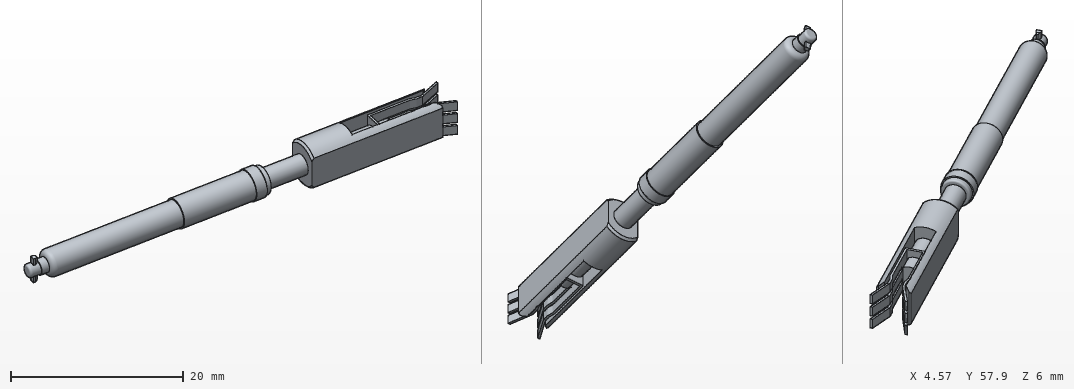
import cadquery as cq
import math

TOTAL_LENGTH = 57.9

PIN_RADIUS = 0.85
PIN_END = 1.45
PIN_FILLET = 0.3
NECK_RADIUS = 1.0
KEY_WIDTH = 0.65
KEY_START = 0.7
KEY_END = 1.4
KEY_HALF_SPAN = 1.75
KEY_CHAMFER = 0.2
KEY_NOSE_WIDTH = 0.2
KEY_NOSE_LENGTH = 0.4

BARREL_START = 2.5
BARREL_RADIUS = 1.75
BARREL_FILLET = 0.7
SLEEVE_START = 20.5
SLEEVE_RADIUS = 1.9
COLLAR_START = 30.4
COLLAR_END = 31.85
COLLAR_RADIUS = 2.0
LIP_END = 32.6
LIP_RADIUS = 1.85
LIP_FILLET = 0.25
ROD_RADIUS = 1.35

HEAD_START = 37.9
HEAD_END = 56.0
HEAD_RADIUS = 3.0
HEAD_WIDTH = 4.2
HEAD_START_CHAMFER = 0.3
SLOT_START = 44.0
SLOT_WIDTH = 2.6
SLOT_LEAD_IN = 0.6

STUD_RADIUS = 1.45
STUD_WIDTH = 2.2
STUD_END = 46.65
SHOULDER_WIDTH = 2.1
TANG_WIDTH = 1.55
TANG_END = 50.0

SHEET = 0.3
CLIP_BASE_START = 47.7
FINGER_WIDTH = 1.3
FINGER_PITCH = 1.75
FINGER_COUNT = 3
FINGER_ROOT = 49.8
CLIP_HEIGHT = FINGER_PITCH * (FINGER_COUNT - 1) + FINGER_WIDTH
CLIP_CLEARANCE = 0.05
CLIP_HALF_WIDTH = SLOT_WIDTH / 2 - CLIP_CLEARANCE
BUMP_START = 53.45
BUMP_LOW = 54.2
BUMP_HIGH = 55.0
BUMP_INSET = 0.2
TIP_HALF_SPAN = 2.285


def make_body():
    """Turned pin, barrel, sleeve, collar and rod as one revolved profile."""
    fillet_start = BARREL_START + BARREL_FILLET
    lip_round_start = LIP_END - LIP_FILLET
    diagonal = math.sqrt(0.5)
    return (
        cq.Workplane("XY")
        .moveTo(0, 0)
        .lineTo(PIN_RADIUS - PIN_FILLET, 0)
        .threePointArc(
            (PIN_RADIUS - PIN_FILLET * (1 - diagonal), PIN_FILLET * (1 - diagonal)),
            (PIN_RADIUS, PIN_FILLET),
        )
        .lineTo(PIN_RADIUS, PIN_END)
        .lineTo(NECK_RADIUS, PIN_END)
        .lineTo(NECK_RADIUS, BARREL_START)
        .lineTo(BARREL_RADIUS - BARREL_FILLET, BARREL_START)
        .threePointArc(
            (
                BARREL_RADIUS - BARREL_FILLET * (1 - diagonal),
                fillet_start - BARREL_FILLET * diagonal,
            ),
            (BARREL_RADIUS, fillet_start),
        )
        .lineTo(BARREL_RADIUS, SLEEVE_START)
        .lineTo(SLEEVE_RADIUS, SLEEVE_START)
        .lineTo(SLEEVE_RADIUS, COLLAR_START)
        .lineTo(COLLAR_RADIUS, COLLAR_START)
        .lineTo(COLLAR_RADIUS, COLLAR_END)
        .lineTo(LIP_RADIUS, COLLAR_END)
        .lineTo(LIP_RADIUS, lip_round_start)
        .threePointArc(
            (
                LIP_RADIUS - LIP_FILLET * (1 - diagonal),
                lip_round_start + LIP_FILLET * diagonal,
            ),
            (LIP_RADIUS - LIP_FILLET, LIP_END),
        )
        .lineTo(ROD_RADIUS, LIP_END)
        .lineTo(ROD_RADIUS, HEAD_START)
        .lineTo(0, HEAD_START)
        .close()
        .revolve(360, (0, 0, 0), (0, 1, 0))
    )


def make_key():
    """Cross key through the pin, tapering to a narrow nose with chamfered ends on the barrel side."""
    shoulder = KEY_END - KEY_NOSE_LENGTH
    return (
        cq.Workplane("XY")
        .moveTo(-KEY_WIDTH / 2, KEY_START)
        .lineTo(KEY_WIDTH / 2, KEY_START)
        .lineTo(KEY_WIDTH / 2, shoulder)
        .lineTo(KEY_NOSE_WIDTH / 2, KEY_END)
        .lineTo(-KEY_NOSE_WIDTH / 2, KEY_END)
        .lineTo(-KEY_WIDTH / 2, shoulder)
        .close()
        .extrude(KEY_HALF_SPAN, both=True)
        .faces(">Y")
        .edges("|X")
        .chamfer(KEY_CHAMFER)
    )


def cylinder_along_y(radius, start, end):
    """Cylinder on the Y axis between two stations."""
    return cq.Workplane("XZ", origin=(0, start, 0)).circle(radius).extrude(start - end)


def box_along_y(width, height, start, end):
    """Box centred on the Y axis between two stations."""
    return cq.Workplane("XY").box(width, end - start, height).translate((0, (start + end) / 2, 0))


def make_head():
    """Chamfered cylinder with two flats, split into a fork by a slot that widens at its mouth."""
    head = cylinder_along_y(HEAD_RADIUS, HEAD_START, HEAD_END)
    head = head.faces("<Y").chamfer(HEAD_START_CHAMFER)
    head = head.intersect(box_along_y(HEAD_WIDTH, 2 * HEAD_RADIUS, HEAD_START, HEAD_END))
    half_slot = SLOT_WIDTH / 2
    half_mouth = half_slot + SLOT_LEAD_IN
    lead_in_start = HEAD_END - SLOT_LEAD_IN
    slot = (
        cq.Workplane("XY")
        .moveTo(-half_slot, SLOT_START)
        .lineTo(half_slot, SLOT_START)
        .lineTo(half_slot, lead_in_start)
        .lineTo(half_mouth, HEAD_END)
        .lineTo(-half_mouth, HEAD_END)
        .lineTo(-half_slot, lead_in_start)
        .close()
        .extrude(HEAD_RADIUS, both=True)
    )
    return head.cut(slot)


def flattened_cylinder(width, start, end):
    """Stretch of the stud with two flats facing +X and -X."""
    return cylinder_along_y(STUD_RADIUS, start, end).intersect(
        box_along_y(width, 2 * STUD_RADIUS, start, end)
    )


def make_stud():
    """Stud that narrows in two steps, its tang passing through the clip base."""
    stud = flattened_cylinder(STUD_WIDTH, SLOT_START, STUD_END)
    shoulder = flattened_cylinder(SHOULDER_WIDTH, STUD_END, CLIP_BASE_START)
    tang = flattened_cylinder(TANG_WIDTH, CLIP_BASE_START, TANG_END)
    return stud.union(shoulder).union(tang)


def make_clip_side():
    """One springy side wall (+X): straight, pinched inward, then flared to the tip."""
    outer = CLIP_HALF_WIDTH
    inner = outer - SHEET
    flare_angle = math.atan2(TIP_HALF_SPAN - (outer - BUMP_INSET), TOTAL_LENGTH - BUMP_HIGH)
    tip_width = SHEET / math.cos(flare_angle)
    outline = [
        (inner, CLIP_BASE_START),
        (outer, CLIP_BASE_START),
        (outer, BUMP_START),
        (outer - BUMP_INSET, BUMP_LOW),
        (outer - BUMP_INSET, BUMP_HIGH),
        (TIP_HALF_SPAN, TOTAL_LENGTH),
        (TIP_HALF_SPAN - tip_width, TOTAL_LENGTH),
        (inner - BUMP_INSET, BUMP_HIGH),
        (inner - BUMP_INSET, BUMP_LOW),
        (inner, BUMP_START),
    ]
    return cq.Workplane("XY").polyline(outline).close().extrude(CLIP_HEIGHT / 2, both=True)


def make_clip():
    """U-shaped clip: base plate and two mirrored side walls slit into fingers."""
    side = make_clip_side()
    base_end = CLIP_BASE_START + SHEET
    clip = box_along_y(2 * CLIP_HALF_WIDTH, CLIP_HEIGHT, CLIP_BASE_START, base_end)
    clip = clip.union(side).union(side.mirror("YZ"))
    slit = box_along_y(2 * TIP_HALF_SPAN, FINGER_PITCH - FINGER_WIDTH, FINGER_ROOT, TOTAL_LENGTH)
    for gap in range(FINGER_COUNT - 1):
        clip = clip.cut(slit.translate((0, 0, FINGER_PITCH * (gap + 1 - FINGER_COUNT / 2))))
    return clip


result = make_body().union(make_key()).union(make_head()).union(make_stud()).union(make_clip())